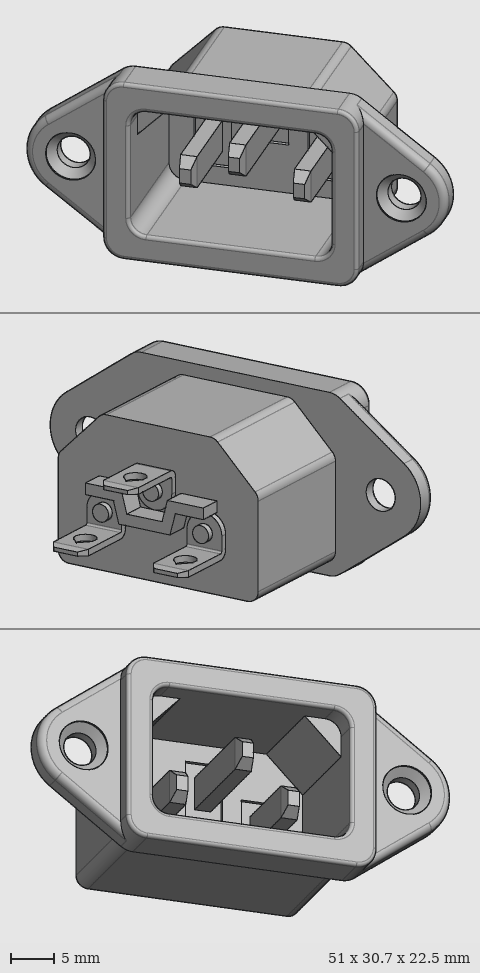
import cadquery as cq
import math


RIM_WIDTH = 30.85
RIM_HEIGHT = 22.5
RIM_DEPTH = 5.0
RIM_CORNER_RADIUS = 2.5
EDGE_RADIUS = 0.45

OVERALL_WIDTH = 50.95
EAR_RADIUS = 5.5
EAR_THICKNESS = 2.75
EAR_EDGE_RADIUS = 0.9
SCREW_HOLE_DIAMETER = 4.0
COUNTERSINK_DIAMETER = 6.0
COUNTERSINK_ANGLE = 90
COUNTERSINK_LIP = 0.25
EAR_X = OVERALL_WIDTH / 2 - EAR_RADIUS

BODY_WIDTH = 27.5
BODY_HEIGHT = 19.2
BODY_CHAMFER = 6.0
BODY_CORNER_RADIUS = 1.5
BODY_BACK_Y = 21.55

CAVITY_WIDTH = 24.35
CAVITY_HEIGHT = 15.8
CAVITY_DEPTH = 16.0
CAVITY_CORNER_RADIUS = 2.0
WEDGE_LEG = 4.5
WEDGE_FRONT_Y = 3.25

PIN_PITCH = 6.9
PIN_OFFSET_Z = 1.95
PIN_WIDTH = 2.0
PIN_HEIGHT = 4.0
PIN_TIP_WIDTH = 1.4
PIN_TIP_HEIGHT = 1.85
PIN_TAPER_LENGTH = 1.55
EARTH_PIN_TIP_Y = 1.5
LINE_PIN_TIP_Y = 4.75
PIN_RECESS_WIDTH = 4.55
PIN_RECESS_HEIGHT = 7.4
PIN_RECESS_DEPTH = 0.5

TERMINAL_END_Y = 30.7
TERMINAL_WIDTH = 4.8
TERMINAL_THICKNESS = 0.8
TERMINAL_OUTER_Z = 4.85
BEND_INNER_RADIUS = 0.25
TIP_LENGTH = 1.1
TIP_SIDE_CHAMFER = 0.75
TIP_THICKNESS = 0.5
EYE_DIAMETER = 2.7
EYE_Y = 26.45
EYE_POINT_Y = 28.4
RIVET_DIAMETER = 2.2
RIVET_END_Y = 23.2

BARRIER_END_Y = 24.5
BARRIER_HALF_WIDTH = 8.1
BARRIER_TOP_Z = 1.95
BARRIER_BOTTOM_Z = -2.25
BARRIER_THICKNESS = 1.45
BARRIER_INNER_X = 3.15
BARRIER_SLOPE_ANGLE = 75


def block(width, height, front_y, back_y, x=0.0, z=0.0):
    """Box centred on (x, z) that runs from front_y to back_y."""
    return cq.Workplane("XY").box(width, back_y - front_y, height).translate(
        (x, (front_y + back_y) / 2, z)
    )


def plane_at(y):
    """XZ workplane at the given Y, with its normal pointing to -Y."""
    return cq.Workplane("XZ", origin=(0, y, 0))


def rim():
    shape = block(RIM_WIDTH, RIM_HEIGHT, 0, RIM_DEPTH)
    return shape.edges("|Y").fillet(RIM_CORNER_RADIUS).faces("<Y").edges().fillet(EDGE_RADIUS)


def ears():
    """Plate whose sloping sides are tangent to the ear ends and to the rim corners."""
    corner_x = RIM_WIDTH / 2 - RIM_CORNER_RADIUS
    corner_z = RIM_HEIGHT / 2 - RIM_CORNER_RADIUS
    run = EAR_X - corner_x
    spacing = math.hypot(run, corner_z)
    angle = math.acos((RIM_CORNER_RADIUS - EAR_RADIUS) / spacing) - math.atan2(corner_z, run)
    cos_a = math.cos(angle)
    sin_a = math.sin(angle)
    ear_x = EAR_X + EAR_RADIUS * cos_a
    ear_z = EAR_RADIUS * sin_a
    rim_x = corner_x + RIM_CORNER_RADIUS * cos_a
    rim_z = corner_z + RIM_CORNER_RADIUS * sin_a
    plate = (
        plane_at(RIM_DEPTH)
        .moveTo(-rim_x, rim_z)
        .lineTo(rim_x, rim_z)
        .lineTo(ear_x, ear_z)
        .threePointArc((OVERALL_WIDTH / 2, 0), (ear_x, -ear_z))
        .lineTo(rim_x, -rim_z)
        .lineTo(-rim_x, -rim_z)
        .lineTo(-ear_x, -ear_z)
        .threePointArc((-OVERALL_WIDTH / 2, 0), (-ear_x, ear_z))
        .close()
        .extrude(EAR_THICKNESS)
    )
    plate = plate.faces("<Y").edges().fillet(EAR_EDGE_RADIUS)
    front_y = RIM_DEPTH - EAR_THICKNESS
    hole_centres = [(-EAR_X, 0), (EAR_X, 0)]
    lips = (
        plane_at(front_y + COUNTERSINK_LIP)
        .pushPoints(hole_centres)
        .circle(COUNTERSINK_DIAMETER / 2)
        .extrude(COUNTERSINK_LIP)
    )
    return (
        plane_at(front_y + COUNTERSINK_LIP)
        .add(plate)
        .pushPoints(hole_centres)
        .cskHole(SCREW_HOLE_DIAMETER, COUNTERSINK_DIAMETER, COUNTERSINK_ANGLE)
        .cut(lips)
    )


def chamfered_block(width, height, chamfer, front_y, back_y):
    """Block with its two upper lengthwise edges cut at 45 degrees."""
    shape = block(width, height, front_y, back_y)
    return shape.faces(">Z").edges("|Y").chamfer(chamfer)


def body():
    """Chamfered housing that starts inside the rim so that the two fuse."""
    shape = chamfered_block(BODY_WIDTH, BODY_HEIGHT, BODY_CHAMFER, RIM_DEPTH / 2, BODY_BACK_Y)
    return shape.edges("|Y").fillet(BODY_CORNER_RADIUS)


def cavity():
    """Rounded opening whose upper corners are filled by wedges further in."""
    opening = block(CAVITY_WIDTH, CAVITY_HEIGHT, 0, CAVITY_DEPTH)
    opening = opening.edges("|Y").fillet(CAVITY_CORNER_RADIUS)
    mouth = block(CAVITY_WIDTH, CAVITY_HEIGHT, 0, WEDGE_FRONT_Y)
    inside = chamfered_block(CAVITY_WIDTH, CAVITY_HEIGHT, WEDGE_LEG, WEDGE_FRONT_Y, CAVITY_DEPTH)
    return opening.intersect(mouth.union(inside))


def opening_edges():
    """Selector box around the front edges of the cavity."""
    half_x = CAVITY_WIDTH / 2 + EDGE_RADIUS
    half_z = CAVITY_HEIGHT / 2 + EDGE_RADIUS
    return cq.selectors.BoxSelector(
        (-half_x, -EDGE_RADIUS, -half_z), (half_x, EDGE_RADIUS, half_z), boundingbox=True
    )


def pin_recess(x, z):
    back_y = CAVITY_DEPTH + PIN_RECESS_DEPTH
    return block(PIN_RECESS_WIDTH, PIN_RECESS_HEIGHT, CAVITY_DEPTH, back_y, x, z)


def pin(x, z, tip_y):
    """Blade with a tapered tip, rooted inside the body."""
    taper_y = tip_y + PIN_TAPER_LENGTH
    shank = block(PIN_WIDTH, PIN_HEIGHT, taper_y, BODY_BACK_Y, x, z)
    tip = (
        plane_at(taper_y)
        .center(x, z)
        .rect(PIN_WIDTH, PIN_HEIGHT)
        .workplane(offset=PIN_TAPER_LENGTH)
        .rect(PIN_TIP_WIDTH, PIN_TIP_HEIGHT)
        .loft()
    )
    return shank.union(tip)


def terminal_profile():
    """Side outline in YZ: flange on the body back, bend, and tab with a thinned tip."""
    flange_y = BODY_BACK_Y + TERMINAL_THICKNESS
    inner_z = TERMINAL_OUTER_Z - TERMINAL_THICKNESS
    flange_end_z = PIN_OFFSET_Z - TERMINAL_WIDTH / 2
    tip_inset = (TERMINAL_THICKNESS - TIP_THICKNESS) / 2
    tip_y = TERMINAL_END_Y - TIP_LENGTH
    bend_outer = BEND_INNER_RADIUS + TERMINAL_THICKNESS
    bend_y = BODY_BACK_Y + bend_outer
    bend_z = TERMINAL_OUTER_Z - bend_outer
    diagonal = math.sqrt(0.5)
    outer_mid = (bend_y - bend_outer * diagonal, bend_z + bend_outer * diagonal)
    inner_mid = (bend_y - BEND_INNER_RADIUS * diagonal, bend_z + BEND_INNER_RADIUS * diagonal)
    return (
        cq.Workplane("YZ")
        .moveTo(BODY_BACK_Y, flange_end_z)
        .lineTo(BODY_BACK_Y, bend_z)
        .threePointArc(outer_mid, (bend_y, TERMINAL_OUTER_Z))
        .lineTo(tip_y, TERMINAL_OUTER_Z)
        .lineTo(TERMINAL_END_Y, TERMINAL_OUTER_Z - tip_inset)
        .lineTo(TERMINAL_END_Y, inner_z + tip_inset)
        .lineTo(tip_y, inner_z)
        .lineTo(bend_y, inner_z)
        .threePointArc(inner_mid, (flange_y, bend_z))
        .lineTo(flange_y, flange_end_z)
        .close()
    )


def teardrop_eye():
    """Round eye with two tangent sides meeting in a point towards the tab end."""
    radius = EYE_DIAMETER / 2
    rise = EYE_POINT_Y - EYE_Y
    touch_y = EYE_Y + radius**2 / rise
    touch_x = radius * math.sqrt(1 - (radius / rise) ** 2)
    return (
        cq.Workplane("XY")
        .moveTo(0, EYE_POINT_Y)
        .lineTo(touch_x, touch_y)
        .threePointArc((0, EYE_Y - radius), (-touch_x, touch_y))
        .close()
        .extrude(TERMINAL_OUTER_Z)
    )


def terminal():
    """Earth terminal at X = 0 with its tab on the upper side."""
    half_width = TERMINAL_WIDTH / 2
    bar = terminal_profile().extrude(half_width, both=True)
    tab_outline = (
        cq.Workplane("XY")
        .moveTo(-half_width, BODY_BACK_Y)
        .lineTo(half_width, BODY_BACK_Y)
        .lineTo(half_width, TERMINAL_END_Y - TIP_LENGTH)
        .lineTo(half_width - TIP_SIDE_CHAMFER, TERMINAL_END_Y)
        .lineTo(-half_width + TIP_SIDE_CHAMFER, TERMINAL_END_Y)
        .lineTo(-half_width, TERMINAL_END_Y - TIP_LENGTH)
        .close()
        .extrude(TERMINAL_OUTER_Z, both=True)
    )
    flange_length = TERMINAL_END_Y - BODY_BACK_Y
    round_end = plane_at(TERMINAL_END_Y).center(0, PIN_OFFSET_Z).circle(half_width).extrude(flange_length)
    upper_z = PIN_OFFSET_Z + TERMINAL_OUTER_Z / 2
    upper = block(
        TERMINAL_WIDTH, TERMINAL_OUTER_Z, BODY_BACK_Y, TERMINAL_END_Y, z=upper_z
    )
    rivet_length = RIVET_END_Y - BODY_BACK_Y
    rivet = plane_at(RIVET_END_Y).center(0, PIN_OFFSET_Z).circle(RIVET_DIAMETER / 2).extrude(rivet_length)
    return bar.intersect(tab_outline).intersect(round_end.union(upper)).cut(teardrop_eye()).union(rivet)


def barrier():
    """Wall of constant thickness: two side arms sloping down to a bar below the earth rivet."""
    slope = math.radians(BARRIER_SLOPE_ANGLE)
    arm_bottom_z = BARRIER_TOP_Z - BARRIER_THICKNESS
    bar_top_z = BARRIER_BOTTOM_Z + BARRIER_THICKNESS
    inner_foot_x = BARRIER_INNER_X - (BARRIER_TOP_Z - bar_top_z) / math.tan(slope)
    corner_shift = BARRIER_THICKNESS * math.tan(slope / 2)
    outer_knee_x = BARRIER_INNER_X + corner_shift
    outer_foot_x = inner_foot_x + corner_shift
    right_side = [
        (inner_foot_x, bar_top_z),
        (BARRIER_INNER_X, BARRIER_TOP_Z),
        (BARRIER_HALF_WIDTH, BARRIER_TOP_Z),
        (BARRIER_HALF_WIDTH, arm_bottom_z),
        (outer_knee_x, arm_bottom_z),
        (outer_foot_x, BARRIER_BOTTOM_Z),
    ]
    left_side = [(-x, z) for x, z in reversed(right_side)]
    outline = plane_at(BARRIER_END_Y).polyline(right_side + left_side).close()
    return outline.extrude(BARRIER_END_Y - BODY_BACK_Y)


line_positions = [(-PIN_PITCH, -PIN_OFFSET_Z), (PIN_PITCH, -PIN_OFFSET_Z)]
earth_position = (0, PIN_OFFSET_Z)

result = rim().union(ears()).union(body()).cut(cavity())
result = result.edges(opening_edges()).fillet(EDGE_RADIUS)
for position in line_positions + [earth_position]:
    result = result.cut(pin_recess(*position))

result = result.union(pin(*earth_position, EARTH_PIN_TIP_Y)).union(terminal())
line_terminal = terminal().mirror("XY")
for x, z in line_positions:
    result = result.union(pin(x, z, LINE_PIN_TIP_Y)).union(line_terminal.translate((x, 0, 0)))

result = result.union(barrier())